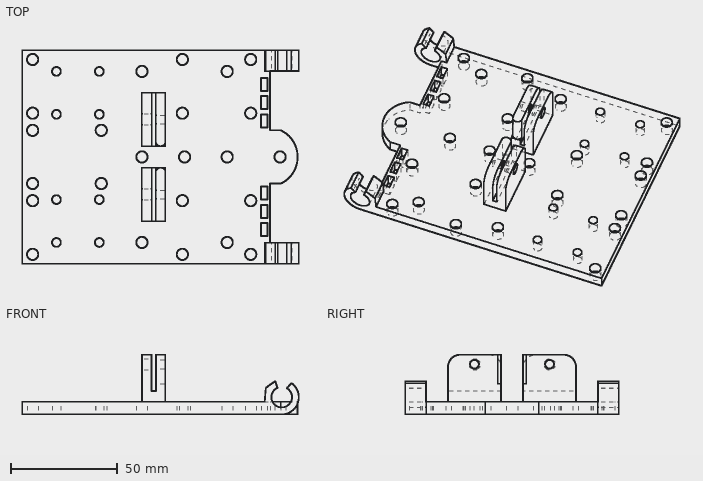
import cadquery as cq
import math

total_length = 129.5
plate_length = 116.0
plate_width = 100.0
plate_thickness = 6.0
total_height = 28.0

tongue_width = 25.0
tongue_straight_end = 121.0
tongue_tip = 129.0

large_hole_diameter = 5.2
small_hole_diameter = 4.0
centre_row_holes = [(56.0, 0), (76.0, 0), (95.9, 0), (120.7, 0)]
mirrored_large_holes = [
    (4.9, 45.6), (75.0, 45.6), (106.9, 45.6),
    (56.0, 40.0), (95.9, 40.0),
    (4.9, 20.5), (75.0, 20.5), (106.9, 20.5),
    (4.9, 12.4), (37.0, 12.4),
]
mirrored_small_holes = [(x, y) for x in (16.0, 36.1) for y in (20.0, 40.0)]

window_length = 3.0
window_width = 6.0
window_x = 113.3
window_rows = (16.8, 25.5, 33.9)

post_start = 56.0
post_thickness = 11.0
post_inner_y = 5.0
post_width = 25.0
post_corner_radius = 6.0
post_slot_width = 2.0
post_slot_floor = 11.0
post_jaw_thickness = (post_thickness - post_slot_width) / 2
pin_height = 23.4
front_pin_diameter = 5.2
rear_pin_diameter = 4.0
rear_jaw_nose_length = 1.5
rear_jaw_nose_bottom = 14.2

clip_outer_radius = 8.0
clip_inner_radius = 4.8
clip_width = 9.8
clip_flat_top = 12.3
clip_flat_lean = 0.5
clip_shoulder_offset = -5.5
clip_x = total_length - clip_outer_radius
clip_z = clip_outer_radius
left_lip_inner, left_lip_outer = -2.0, -3.0
right_lip_inner, right_lip_outer = 2.3, 4.5


def mirrored(points):
    """Points together with their reflections across the XZ plane."""
    return points + [(x, -y) for x, y in points]


def make_plate():
    half_width = plate_width / 2
    half_tongue = tongue_width / 2
    return (
        cq.Workplane("XY")
        .moveTo(0, -half_width)
        .lineTo(plate_length, -half_width)
        .lineTo(plate_length, -half_tongue)
        .lineTo(tongue_straight_end, -half_tongue)
        .threePointArc((tongue_tip, 0), (tongue_straight_end, half_tongue))
        .lineTo(plate_length, half_tongue)
        .lineTo(plate_length, half_width)
        .lineTo(0, half_width)
        .close()
        .extrude(plate_thickness)
    )


def make_plate_openings():
    large = (
        cq.Workplane("XY")
        .pushPoints(centre_row_holes + mirrored(mirrored_large_holes))
        .circle(large_hole_diameter / 2)
        .extrude(plate_thickness)
    )
    small = (
        cq.Workplane("XY")
        .pushPoints(mirrored(mirrored_small_holes))
        .circle(small_hole_diameter / 2)
        .extrude(plate_thickness)
    )
    windows = (
        cq.Workplane("XY")
        .pushPoints(mirrored([(window_x, y) for y in window_rows]))
        .rect(window_length, window_width)
        .extrude(plate_thickness)
    )
    return large.union(small).union(windows)


def block(x_start, thickness, z_bottom, z_top):
    """Upright block spanning the width of the post on the +Y side."""
    return (
        cq.Workplane("XY")
        .box(thickness, post_width, z_top - z_bottom, centered=False)
        .translate((x_start, post_inner_y, z_bottom))
    )


def pin_hole(x_start, diameter):
    return (
        cq.Workplane("YZ", origin=(x_start, 0, 0))
        .center(post_inner_y + post_width / 2, pin_height)
        .circle(diameter / 2)
        .extrude(post_jaw_thickness)
    )


def nose_relief(x_start):
    """Material removed around the rounded nose at the inner end of the rear jaw."""
    height = total_height - rear_jaw_nose_bottom
    shoulder_y = post_inner_y + rear_jaw_nose_length
    return (
        cq.Workplane("XY", origin=(x_start, 0, rear_jaw_nose_bottom))
        .moveTo(0, post_inner_y)
        .lineTo(0, shoulder_y)
        .threePointArc(
            (post_jaw_thickness / 2, post_inner_y),
            (post_jaw_thickness, shoulder_y),
        )
        .lineTo(post_jaw_thickness, post_inner_y - rear_jaw_nose_length)
        .lineTo(0, post_inner_y - rear_jaw_nose_length)
        .close()
        .extrude(height)
    )


def make_post():
    """Post on the +Y side: a base carrying a front and a rear jaw."""
    rear_start = post_start + post_thickness - post_jaw_thickness
    base = block(post_start, post_thickness, 0, post_slot_floor)
    front_jaw = (
        block(post_start, post_jaw_thickness, post_slot_floor, total_height)
        .edges("|X and >Z")
        .fillet(post_corner_radius)
        .cut(pin_hole(post_start, front_pin_diameter))
    )
    rear_jaw = (
        block(rear_start, post_jaw_thickness, post_slot_floor, total_height)
        .edges("|X and >Z and >Y")
        .fillet(post_corner_radius)
        .cut(nose_relief(rear_start))
        .cut(pin_hole(rear_start, rear_pin_diameter))
    )
    return base.union(front_jaw).union(rear_jaw)


def clip_point(radius, x_offset):
    """Point on the upper half of a circle about the clip axis."""
    return (clip_x + x_offset, clip_z + math.sqrt(radius**2 - x_offset**2))


def make_clip():
    """Clip on the +Y side, flush with the edge of the plate."""
    flat_x = clip_x - clip_outer_radius
    flat_end = (flat_x + clip_flat_lean, clip_flat_top)
    arc_middle = clip_point(clip_outer_radius, clip_shoulder_offset)
    return (
        cq.Workplane("XZ", origin=(0, plate_width / 2, 0))
        .moveTo(flat_x, 0)
        .lineTo(flat_x, plate_thickness)
        .lineTo(*flat_end)
        .threePointArc(arc_middle, clip_point(clip_outer_radius, left_lip_outer))
        .lineTo(*clip_point(clip_inner_radius, left_lip_inner))
        .threePointArc(
            (clip_x, clip_z - clip_inner_radius),
            clip_point(clip_inner_radius, right_lip_inner),
        )
        .lineTo(*clip_point(clip_outer_radius, right_lip_outer))
        .threePointArc((total_length, clip_z), (clip_x, 0))
        .close()
        .extrude(clip_width)
    )


def make_clip_bore():
    return (
        cq.Workplane("XZ", origin=(0, plate_width / 2, 0))
        .center(clip_x, clip_z)
        .circle(clip_inner_radius)
        .extrude(clip_width)
    )


def both_sides(shape):
    return shape.union(shape.mirror("XZ"))


result = (
    make_plate()
    .cut(both_sides(make_clip_bore()))
    .union(both_sides(make_clip()))
    .union(both_sides(make_post()))
    .cut(make_plate_openings())
)